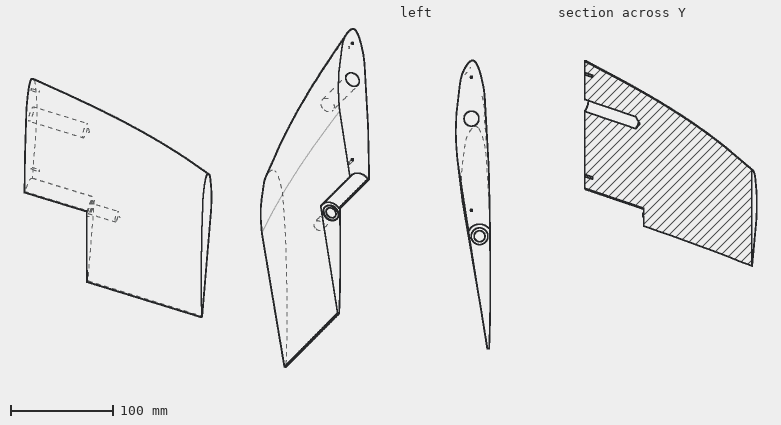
import cadquery as cq
import math

span = 185.0
root_chord = 281.7
tip_chord = 217.5
tip_thickness_ratio = 0.84
section_count = 8
taper_linear_share = 0.6

front_side = [(1.5, 0.0), (0.3, 42.3), (0.17, 93.0), (0.8, 146.5), (2.3, 191.5), (4.8, 233.8), (9.0, 266.2)]
leading_edge = (18.0, root_chord)
back_nose = [(25.4, 273.8), (30.7, 253.0), (33.8, 224.8), (32.7, 186.8)]
trailing_back = (3.5, 0.0)

notch_width = 65.0
notch_top_front = 117.7
notch_top_back = 115.2
hinge_y = 10.7
hinge_z = 109.9
clearance_radius = 11.8
boss_radius = 8.2
boss_height = 0.8
hinge_hole_radius = 5.4
hinge_hole_depth = 28.2

pin_y = 18.5
spar_z = 224.8
spar_radius = 7.3
spar_depth = 56.3
pin_heights = (135.2, 265.4)
pin_radius = 0.99
pin_depth = 8.5
drill_half_angle = 59.0


def blade_section(fraction):
    """Closed section wire at a fraction of the span; the trailing edge stays at Z = 0."""
    taper = taper_linear_share * fraction + (1 - taper_linear_share) * fraction**3
    chord_ratio = 1 - taper * (1 - tip_chord / root_chord)
    thickness_ratio = 1 - taper * (1 - tip_thickness_ratio)

    def place(point):
        return cq.Vector(fraction * span, point[0] * thickness_ratio, point[1] * chord_ratio)

    nose_curve = [place(p) for p in front_side + [leading_edge] + back_nose]
    trailing_point = place(trailing_back)
    return cq.Wire.assembleEdges([
        cq.Edge.makeSpline(nose_curve),
        cq.Edge.makeLine(nose_curve[-1], trailing_point),
        cq.Edge.makeLine(trailing_point, nose_curve[0]),
    ])


def rod(x, y, z, radius, length):
    """Cylinder running along +X from the given start."""
    return cq.Workplane("YZ", origin=(x, y, z)).circle(radius).extrude(length)


def drilled_hole(x, y, z, radius, depth):
    """Blind hole along +X with a conical drill point."""
    point_length = radius / math.tan(math.radians(drill_half_angle))
    point = cq.Solid.makeCone(radius, 0, point_length, cq.Vector(x + depth, y, z), cq.Vector(1, 0, 0))
    return rod(x, y, z, radius, depth).union(cq.Workplane(point))


stations = [i / (section_count - 1) for i in range(section_count)]
blade = cq.Workplane(cq.Solid.makeLoft([blade_section(f) for f in stations]))

notch = (
    cq.Workplane("YZ")
    .moveTo(-root_chord, -notch_top_back)
    .lineTo(-root_chord, notch_top_front)
    .lineTo(hinge_y, notch_top_front)
    .lineTo(hinge_y, notch_top_back)
    .lineTo(root_chord, notch_top_back)
    .lineTo(root_chord, -notch_top_back)
    .close()
    .extrude(notch_width)
)
clearance = rod(0, hinge_y, hinge_z, clearance_radius, notch_width)
blade = blade.cut(notch).cut(clearance)
boss_start = notch_width - boss_height
blade = blade.union(rod(boss_start, hinge_y, hinge_z, boss_radius, 2 * boss_height))

blade = blade.cut(drilled_hole(boss_start, hinge_y, hinge_z, hinge_hole_radius, hinge_hole_depth))
blade = blade.cut(drilled_hole(0, pin_y, spar_z, spar_radius, spar_depth))
for pin_z in pin_heights:
    blade = blade.cut(rod(0, pin_y, pin_z, pin_radius, pin_depth))

result = blade